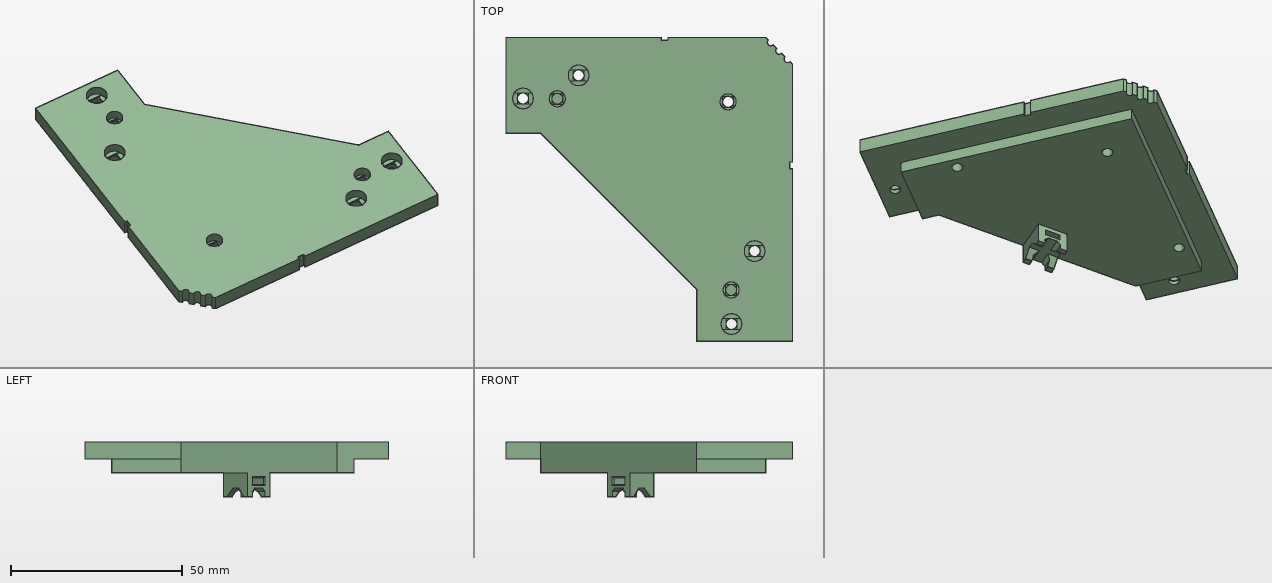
import cadquery as cq
import math

length_x = 83.4
length_y = 88.45
total_height = 16.0
plate_thickness = 9.0
upper_thickness = 5.0
lower_thickness = plate_thickness - upper_thickness
tab_height = total_height - plate_thickness
arm_width = 27.95
arm_reach = 10.1
lower_setback = 7.8

corner_chamfer = 7.8
edge_notch_width = 1.95
edge_notch_depth = 0.8
edge_notch_distance = 37.2
grip_diameter = 1.95
grip_pitch = 3.45
grip_count = 3

bore_diameter = 3.2
large_head_diameter = 6.0
small_head_diameter = 4.7
head_depth = 3.0
bridge_step = 0.3
blind_depth = 7.1
large_holes = [(4.95, 70.7), (21.1, 77.4), (72.35, 26.3), (65.6, 5.0)]
small_through_holes = [(64.7, 69.7)]
small_blind_holes = [(14.95, 70.6), (65.5, 14.95)]

tab_width = 9.3
tab_depth = 9.9
front_arch_width = 5.1
front_arch_chamfer = 1.15
side_arch_width = 6.7
side_arch_chamfer = 2.5
arch_height = 2.65
window_width = 4.6
window_height = 1.9
window_centre_drop = 2.4
window_chamfer = 0.35

inner_x = length_x - arm_width
inner_y = length_y - arm_width
diagonal_run = inner_x - arm_reach
diagonal_end_y = inner_y - diagonal_run
diagonal_angle = -45


def make_plate():
    upper = (
        cq.Workplane("XY", origin=(0, 0, lower_thickness))
        .polyline([
            (0, inner_y),
            (arm_reach, inner_y),
            (inner_x, diagonal_end_y),
            (inner_x, 0),
            (length_x, 0),
            (length_x, length_y - corner_chamfer),
            (length_x - corner_chamfer, length_y),
            (0, length_y),
        ])
        .close()
        .extrude(upper_thickness)
    )
    lower = (
        cq.Workplane("XY")
        .polyline([
            (arm_reach, inner_y),
            (inner_x, diagonal_end_y),
            (inner_x, arm_reach),
            (length_x - lower_setback, arm_reach),
            (length_x - lower_setback, length_y - lower_setback),
            (arm_reach, length_y - lower_setback),
        ])
        .close()
        .extrude(lower_thickness)
    )
    return upper.union(lower)


def make_edge_notches():
    across = 2 * edge_notch_depth
    on_edge = (True, True, False)
    top_edge = cq.Workplane("XY").box(edge_notch_width, across, upper_thickness, centered=on_edge)
    right_edge = cq.Workplane("XY").box(across, edge_notch_width, upper_thickness, centered=on_edge)
    top_edge = top_edge.translate((length_x - edge_notch_distance, length_y, lower_thickness))
    right_edge = right_edge.translate((length_x, length_y - edge_notch_distance, lower_thickness))
    return top_edge.union(right_edge)


def make_grip_notches():
    middle_x = length_x - corner_chamfer / 2
    middle_y = length_y - corner_chamfer / 2
    step = grip_pitch / math.sqrt(2)
    centres = []
    for index in range(grip_count):
        offset = (index - (grip_count - 1) / 2) * step
        centres.append((middle_x + offset, middle_y - offset))
    return (
        cq.Workplane("XY", origin=(0, 0, lower_thickness))
        .pushPoints(centres)
        .circle(grip_diameter / 2)
        .extrude(upper_thickness)
    )


def make_screw_hole(centre, head_diameter, depth):
    head_floor = plate_thickness - head_depth
    x, y = centre
    head = cq.Workplane("XY", origin=(x, y, head_floor)).circle(head_diameter / 2).extrude(head_depth)
    slot = (
        cq.Workplane("XY", origin=(x, y, head_floor - bridge_step))
        .rect(head_diameter, bore_diameter)
        .extrude(bridge_step)
    )
    slot_ends = (
        cq.Workplane("XY", origin=(x, y, head_floor - bridge_step))
        .circle(head_diameter / 2)
        .extrude(bridge_step)
    )
    square = (
        cq.Workplane("XY", origin=(x, y, head_floor - 2 * bridge_step))
        .rect(bore_diameter, bore_diameter)
        .extrude(bridge_step)
    )
    bore = (
        cq.Workplane("XY", origin=(x, y, plate_thickness - depth))
        .circle(bore_diameter / 2)
        .extrude(depth)
    )
    return head.union(slot.intersect(slot_ends)).union(square).union(bore)


def make_arch(plane, width, chamfer, length):
    half = width / 2
    return (
        cq.Workplane(plane)
        .polyline([
            (-half, -tab_height),
            (half, -tab_height),
            (half, arch_height - chamfer - tab_height),
            (half - chamfer, arch_height - tab_height),
            (chamfer - half, arch_height - tab_height),
            (-half, arch_height - chamfer - tab_height),
        ])
        .close()
        .extrude(length / 2, both=True)
    )


def make_tab():
    tab = cq.Workplane("XY").box(tab_width, tab_depth, tab_height, centered=(True, False, False))
    tab = tab.translate((0, 0, -tab_height))
    front_arch = make_arch(cq.Plane.XZ(), front_arch_width, front_arch_chamfer, 2 * tab_depth)
    side_arch = make_arch(cq.Plane.YZ((0, tab_depth / 2, 0)), side_arch_width, side_arch_chamfer, tab_width)
    tab = tab.cut(front_arch).cut(side_arch)

    window_plane = cq.Workplane("XZ", origin=(0, 0, -window_centre_drop))
    window = window_plane.rect(window_width, window_height).extrude(-tab_depth)
    bevel = (
        window_plane
        .rect(window_width + 2 * window_chamfer, window_height + 2 * window_chamfer)
        .workplane(offset=-window_chamfer)
        .rect(window_width, window_height)
        .loft(ruled=True)
    )
    tab = tab.cut(window).cut(bevel)

    middle_x = arm_reach + diagonal_run / 2
    middle_y = inner_y - diagonal_run / 2
    return tab.rotate((0, 0, 0), (0, 0, 1), diagonal_angle).translate((middle_x, middle_y, 0))


result = make_plate().cut(make_edge_notches()).cut(make_grip_notches())

for centre in large_holes:
    result = result.cut(make_screw_hole(centre, large_head_diameter, plate_thickness))
for centre in small_through_holes:
    result = result.cut(make_screw_hole(centre, small_head_diameter, plate_thickness))
for centre in small_blind_holes:
    result = result.cut(make_screw_hole(centre, small_head_diameter, blind_depth))

result = result.union(make_tab())